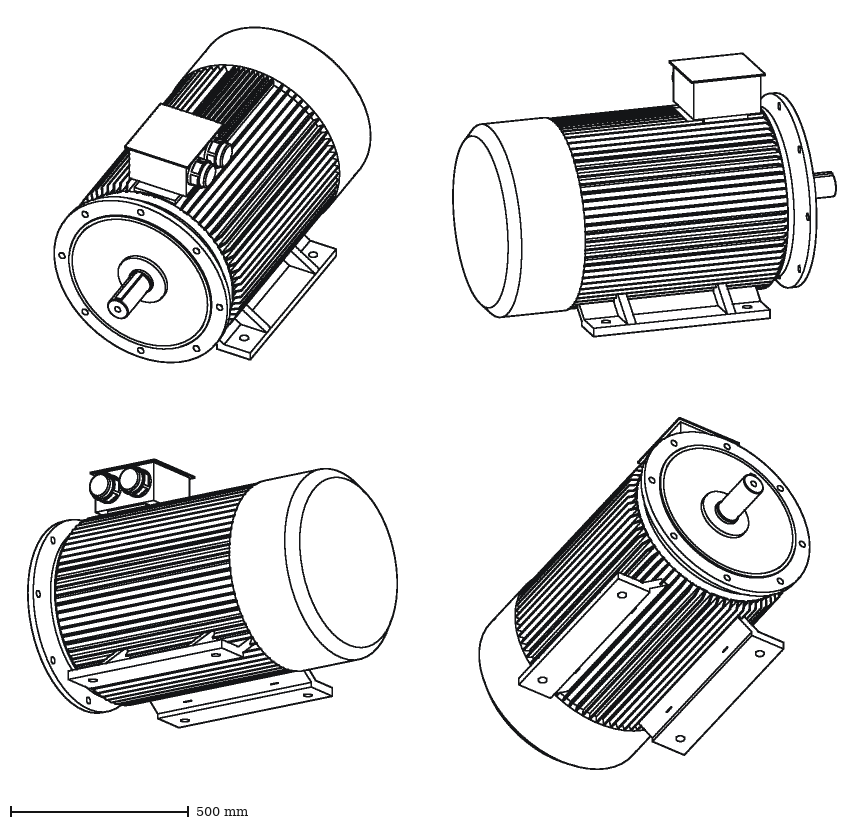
import cadquery as cq
import math


shaft_dia = 65.0
shaft_length = 140.0
shaft_chamfer = 2.0
shoulder_dia = 72.0
shoulder_front = -5.0
shoulder_chamfer = 3.0
center_hole_dia = 18.0
center_hole_depth = 42.0
key_width = 18.0
key_top = 38.0
key_setback = 3.0

flange_dia = 550.0
flange_thickness = 19.0
spigot_dia = 450.0
spigot_height = 5.0
bolt_circle_dia = 500.0
bolt_hole_dia = 19.0
bolt_count = 8
recess_dia = 430.0
recess_depth = 23.0
recess_fillet = 10.0
collar_dia = 150.0
collar_height = 11.0

neck_end = 56.0
neck_flange_fillet = 13.0
neck_ring_fillet = 9.0
ring_end = 77.0
ring_front_radius = 243.0
ring_rear_radius = 254.0

core_radius = 250.0
fin_radius = 270.0
fin_thickness = 4.0
fin_overlap = 10.0
fin_pitch_angle = 5
fin_front_chamfer = 19.0
bare_half_angle = 15

cowl_start = 685.0
cowl_end = 1045 - shaft_length
cowl_dia = 547.0
cowl_chamfer = 30.0

pad_width = 130.0
pad_top = 255.0
pad_start = 86.0
top_fin_count = 9
top_fin_pitch = 15.0
top_fin_start = 312.0
top_fin_chamfer = 13.0

box_center_y = 203.0
box_size_x = 180.0
box_size_y = 199.0
box_bottom = 266.0
box_top = 384.0
lid_overhang = 9.9
lid_thickness = 4.0
pedestal_size_x = 157.0
pedestal_size_y = 130.0

gland_spacing = 101.0
gland_z = 325.0
gland_body_dia = 80.0
gland_body_length = 35.0
gland_hex_size = 73.0
gland_hex_start = 8.0
gland_hex_end = 31.0
gland_cap_dia = 70.0
gland_cap_length = 18.0
gland_cap_chamfer = 4.0

foot_bottom = -280.0
foot_outer_x = flange_dia / 2
foot_inner_x = 169.0
foot_plate_thickness = 25.0
foot_length = 524.0
foot_center_y = 400.0
foot_hole_x = 229.0
foot_hole_spacing = 419.0
foot_hole_dia = 24.0
web_foot_x = 192.0
web_slope = 0.72
web_underside_rise = 14.0
web_inner_x = 110.0
gusset_slope = 0.705
gusset_inner_x = 152.0
gusset_thickness = 25.0
gusset_spacing = 296.0


def cylinder(radius, start, end):
    """Solid cylinder on the Y axis from start to end."""
    return cq.Workplane("XZ", origin=(0, start, 0)).circle(radius).extrude(start - end)


def turned(points):
    """Solid of revolution about the Y axis from (radius, y) points."""
    return cq.Workplane("XY").polyline(points).close().revolve(360, (0, 0, 0), (0, 1, 0))


def block(x_range, y_range, z_range):
    """Axis-aligned box from three (low, high) pairs."""
    low = [min(pair) for pair in (x_range, y_range, z_range)]
    size = [abs(pair[1] - pair[0]) for pair in (x_range, y_range, z_range)]
    return cq.Workplane("XY").box(*size, centered=False).translate(tuple(low))


def make_end_shield():
    """Flange, spigot, filleted neck and conical ring, with the dished front face."""
    spigot_radius = spigot_dia / 2
    flange_radius = flange_dia / 2
    profile = (
        cq.Workplane("XY")
        .moveTo(0, -spigot_height)
        .lineTo(spigot_radius, -spigot_height)
        .lineTo(spigot_radius, 0)
        .lineTo(flange_radius, 0)
        .lineTo(flange_radius, flange_thickness)
        .lineTo(spigot_radius + neck_flange_fillet, flange_thickness)
        .radiusArc((spigot_radius, flange_thickness + neck_flange_fillet), neck_flange_fillet)
        .lineTo(spigot_radius, neck_end - neck_ring_fillet)
        .radiusArc((spigot_radius + neck_ring_fillet, neck_end), neck_ring_fillet)
        .lineTo(ring_front_radius, neck_end)
        .lineTo(ring_rear_radius, ring_end)
        .lineTo(0, ring_end)
        .close()
    )
    shield = profile.revolve(360, (0, 0, 0), (0, 1, 0))

    recess_floor = recess_depth - spigot_height
    recess = cylinder(recess_dia / 2, -spigot_height, recess_floor).faces(">Y").edges().fillet(recess_fillet)
    collar = cylinder(collar_dia / 2, recess_floor - collar_height, recess_floor)
    bolt_holes = (
        cq.Workplane("XZ")
        .polarArray(bolt_circle_dia / 2, 0, 360, bolt_count)
        .circle(bolt_hole_dia / 2)
        .extrude(-flange_thickness)
    )
    return shield.cut(recess).union(collar).cut(bolt_holes)


def make_shaft():
    """Shaft with its shoulder, its key and the centre hole in its end."""
    tip = -shaft_length
    shaft = cylinder(shaft_dia / 2, tip, neck_end).faces("<Y").chamfer(shaft_chamfer)
    shoulder = cylinder(shoulder_dia / 2, shoulder_front, neck_end).faces("<Y").chamfer(shoulder_chamfer)
    key = block((-key_width / 2, key_width / 2), (tip + key_setback, shoulder_front), (0, key_top))
    center_hole = cylinder(center_hole_dia / 2, tip, tip + center_hole_depth)
    return shaft.union(shoulder).union(key).cut(center_hole)


def make_finned_body():
    """Core cylinder with radial fins, the top pad and the upright fins on it."""
    core = cylinder(core_radius, ring_end, cowl_start)
    body_length = cowl_start - ring_end

    fin_span = 360 - 2 * (bare_half_angle + fin_pitch_angle)
    first_fin_angle = 90 + bare_half_angle + fin_pitch_angle
    fin_root = core_radius - fin_overlap
    fin_depth = fin_radius + fin_overlap - fin_root
    radial_fins = (
        cq.Workplane("XZ", origin=(0, ring_end, 0))
        .polarArray(fin_root + fin_depth / 2, first_fin_angle, fin_span, fin_span // fin_pitch_angle + 1)
        .rect(fin_depth, fin_thickness)
        .extrude(-body_length)
    )
    body = core.union(radial_fins)

    fin_side = [
        (top_fin_start, fin_root),
        (top_fin_start, pad_top),
        (top_fin_start + top_fin_chamfer, fin_radius),
        (cowl_start, fin_radius),
        (cowl_start, fin_root),
    ]
    top_fin = cq.Workplane("YZ").polyline(fin_side).close().extrude(fin_thickness / 2, both=True)
    for index in range(top_fin_count):
        fin_x = (index - (top_fin_count - 1) / 2) * top_fin_pitch
        body = body.union(top_fin.translate((fin_x, 0, 0)))

    envelope = turned([
        (0, ring_end),
        (fin_radius - fin_front_chamfer, ring_end),
        (fin_radius, ring_end + fin_front_chamfer),
        (fin_radius, cowl_start),
        (0, cowl_start),
    ])
    pad = block((-pad_width / 2, pad_width / 2), (pad_start, cowl_start), (0, pad_top))
    return body.intersect(envelope).union(pad)


def make_cowl():
    """Fan cowl with a chamfered rear edge."""
    return cylinder(cowl_dia / 2, cowl_start, cowl_end).faces(">Y").chamfer(cowl_chamfer)


def make_gland():
    """Cable gland along +X from the origin: round body with six flats, then the cap."""
    body = cq.Workplane("YZ").circle(gland_body_dia / 2).extrude(gland_body_length)
    hex_length = gland_hex_end - gland_hex_start
    hex_corner_dia = gland_hex_size / math.cos(math.pi / 6)
    flats = (
        cq.Workplane("YZ", origin=(gland_hex_start, 0, 0))
        .circle(gland_body_dia / 2)
        .extrude(hex_length)
        .cut(
            cq.Workplane("YZ", origin=(gland_hex_start, 0, 0))
            .transformed(rotate=(0, 0, 30))
            .polygon(6, hex_corner_dia)
            .extrude(hex_length)
        )
    )
    cap = (
        cq.Workplane("YZ", origin=(gland_body_length, 0, 0))
        .circle(gland_cap_dia / 2)
        .extrude(gland_cap_length)
        .faces(">X")
        .chamfer(gland_cap_chamfer)
    )
    return body.cut(flats).union(cap)


def make_terminal_box():
    """Pedestal, box, overhanging lid and two cable glands."""
    def centered_block(size_x, size_y, z_range):
        y_range = (box_center_y - size_y / 2, box_center_y + size_y / 2)
        return block((-size_x / 2, size_x / 2), y_range, z_range)

    pedestal = centered_block(pedestal_size_x, pedestal_size_y, (0, box_bottom))
    box = centered_block(box_size_x, box_size_y, (box_bottom, box_top))
    lid = centered_block(
        box_size_x + 2 * lid_overhang, box_size_y + 2 * lid_overhang, (box_top - lid_thickness, box_top)
    )
    terminal_box = pedestal.union(box).union(lid)
    gland = make_gland()
    for side in (-1, 1):
        gland_y = box_center_y + side * gland_spacing / 2
        terminal_box = terminal_box.union(gland.translate((box_size_x / 2, gland_y, gland_z)))
    return terminal_box


def make_foot():
    """Foot on the +X side: plate, sloping web up to the body, two gussets and two bolt holes."""
    plate_top = foot_bottom + foot_plate_thickness
    underside = foot_bottom + web_underside_rise
    profile = [
        (foot_outer_x, foot_bottom),
        (foot_outer_x, plate_top),
        (web_foot_x, plate_top),
        (web_inner_x, plate_top + web_slope * (web_foot_x - web_inner_x)),
        (web_inner_x, underside + web_slope * (foot_inner_x - web_inner_x)),
        (foot_inner_x, underside),
        (foot_inner_x, foot_bottom),
    ]
    foot_start = foot_center_y - foot_length / 2
    foot = cq.Workplane("XZ", origin=(0, foot_start, 0)).polyline(profile).close().extrude(-foot_length)

    gusset_profile = [
        (foot_outer_x, plate_top),
        (gusset_inner_x, plate_top + gusset_slope * (foot_outer_x - gusset_inner_x)),
        (gusset_inner_x, plate_top),
    ]
    gusset = cq.Workplane("XZ").polyline(gusset_profile).close().extrude(gusset_thickness / 2, both=True)
    hole = cq.Workplane("XY", origin=(foot_hole_x, 0, foot_bottom)).circle(foot_hole_dia / 2)
    hole = hole.extrude(foot_plate_thickness)
    for side in (-1, 1):
        foot = foot.union(gusset.translate((0, foot_center_y + side * gusset_spacing / 2, 0)))
        foot = foot.cut(hole.translate((0, foot_center_y + side * foot_hole_spacing / 2, 0)))
    return foot


right_foot = make_foot()
left_foot = right_foot.mirror("YZ")

result = (
    make_finned_body()
    .union(make_end_shield())
    .union(make_shaft())
    .union(make_cowl())
    .union(make_terminal_box())
    .union(right_foot)
    .union(left_foot)
)